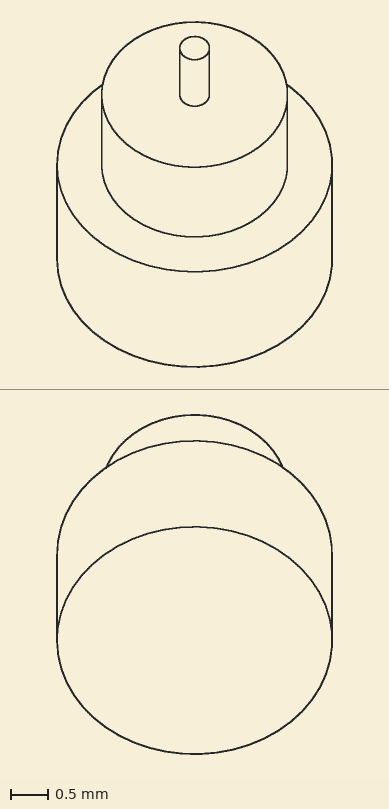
import cadquery as cq

BASE_DIAMETER = 3.7
BASE_HEIGHT = 2.05
COLLAR_DIAMETER = 2.5
COLLAR_HEIGHT = 1.5
INSULATOR_DIAMETER = 1.95
PIN_DIAMETER = 0.4
PIN_LENGTH = 1.0

COLLAR_TOP = BASE_HEIGHT + COLLAR_HEIGHT


def cylinder(diameter, bottom, height):
    """Upright cylinder on the Z axis."""
    return cq.Workplane("XY").workplane(offset=bottom).circle(diameter / 2).extrude(height)


def make_shell():
    """Wide base and narrower collar, with a round seat for the insulator in the collar."""
    base = cylinder(BASE_DIAMETER, 0, BASE_HEIGHT)
    collar = cylinder(COLLAR_DIAMETER, BASE_HEIGHT, COLLAR_HEIGHT)
    seat = cylinder(INSULATOR_DIAMETER, BASE_HEIGHT, COLLAR_HEIGHT)
    return base.union(collar).cut(seat)


def make_insulator():
    """Round insulator, flush with the top of the collar."""
    return cylinder(INSULATOR_DIAMETER, BASE_HEIGHT, COLLAR_HEIGHT)


def make_pin():
    """Centre pin standing on the insulator."""
    return cylinder(PIN_DIAMETER, COLLAR_TOP, PIN_LENGTH)


result = make_shell().union(make_insulator(), clean=False).union(make_pin(), clean=False)